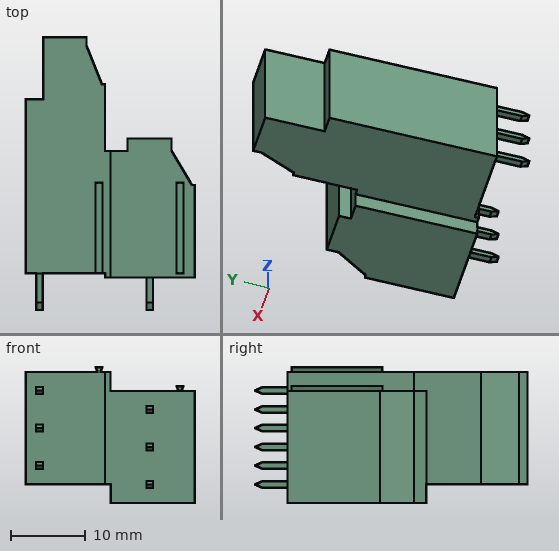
import cadquery as cq

pitch = 5.0
pole_count = 3
housing_depth = pole_count * pitch
tall_bottom_z = 2.53
short_bottom_z = 0.0

overall_width = 22.6
tall_width = 10.6
web_width = 0.75
short_left_x = tall_width + web_width
slope_ledge = 0.4

tall_shoulder_x = 2.35
tall_nose_right_x = 8.15
tall_shoulder_y = 23.25
tall_top_y = 31.5
tall_slope_top_y = 30.35
tall_slope_bottom_y = 25.25

short_face_y = -0.55
short_shoulder_y = 16.35
short_top_y = 18.0
short_nose_left_x = 13.6
short_nose_right_x = 19.5
short_slope_bottom_y = 11.8

rib_top_width = 0.95
rib_root_width = 0.4
rib_height = 0.62
rib_length = 12.1
tall_rib_x = 9.8
short_rib_x = 20.6

pin_size = 0.9
pin_tip_y = -4.9
pin_point_length = 1.0
tall_pin_x = 1.87
short_pin_x = 16.57
pin_embedding = 1.0


def extrude_outline(points, bottom_z):
    """Extrude an XY outline upward by the housing depth."""
    return cq.Workplane("XY").workplane(offset=bottom_z).polyline(points).close().extrude(housing_depth)


def make_tall_housing():
    outline = [
        (0, 0),
        (tall_width, 0),
        (tall_width, tall_slope_bottom_y),
        (tall_width - slope_ledge, tall_slope_bottom_y),
        (tall_nose_right_x, tall_slope_top_y),
        (tall_nose_right_x, tall_top_y),
        (tall_shoulder_x, tall_top_y),
        (tall_shoulder_x, tall_shoulder_y),
        (0, tall_shoulder_y),
    ]
    return extrude_outline(outline, tall_bottom_z)


def make_web():
    """Strip joining both housings, level in Z with the tall one."""
    outline = [
        (tall_width, short_face_y),
        (short_left_x, short_face_y),
        (short_left_x, short_shoulder_y),
        (tall_width, short_shoulder_y),
    ]
    return extrude_outline(outline, tall_bottom_z)


def make_short_housing():
    outline = [
        (short_left_x, short_face_y),
        (overall_width, short_face_y),
        (overall_width, short_slope_bottom_y),
        (overall_width - slope_ledge, short_slope_bottom_y),
        (short_nose_right_x, short_shoulder_y),
        (short_nose_right_x, short_top_y),
        (short_nose_left_x, short_top_y),
        (short_nose_left_x, short_shoulder_y),
        (short_left_x, short_shoulder_y),
    ]
    return extrude_outline(outline, short_bottom_z)


def make_rib(center_x, housing_bottom_z):
    """Dovetail rib along Y, widening away from the upper face."""
    root_z = housing_bottom_z + housing_depth
    top_z = root_z + rib_height
    section = [
        (center_x - rib_root_width / 2, root_z),
        (center_x + rib_root_width / 2, root_z),
        (center_x + rib_top_width / 2, top_z),
        (center_x - rib_top_width / 2, top_z),
    ]
    return cq.Workplane("XZ").polyline(section).close().extrude(-rib_length)


def make_pin(center_x, center_z, face_y):
    """Square pin along Y whose end tapers in Z to a straight edge."""
    root_y = face_y + pin_embedding
    point_y = pin_tip_y + pin_point_length
    half_size = pin_size / 2
    profile = [
        (root_y, center_z - half_size),
        (root_y, center_z + half_size),
        (point_y, center_z + half_size),
        (pin_tip_y, center_z),
        (point_y, center_z - half_size),
    ]
    plane = cq.Workplane("YZ").workplane(offset=center_x - half_size)
    return plane.polyline(profile).close().extrude(pin_size)


result = make_tall_housing().union(make_web()).union(make_short_housing())
result = result.union(make_rib(tall_rib_x, tall_bottom_z))
result = result.union(make_rib(short_rib_x, short_bottom_z))

for pole in range(pole_count):
    pole_z = (pole + 0.5) * pitch
    result = result.union(make_pin(tall_pin_x, tall_bottom_z + pole_z, 0))
    result = result.union(make_pin(short_pin_x, short_bottom_z + pole_z, short_face_y))